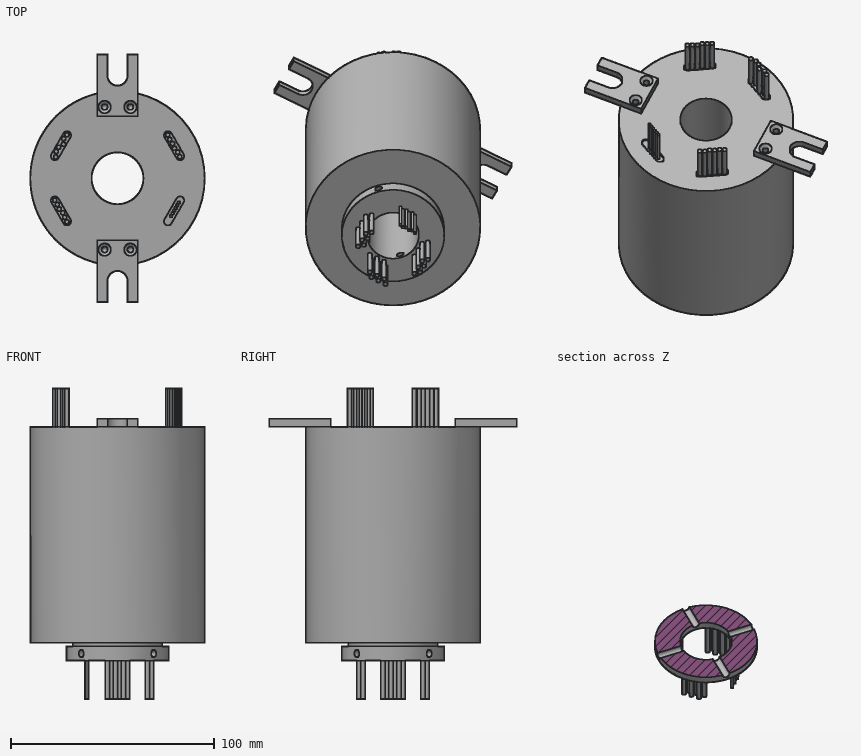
import cadquery as cq
import math

total_height = 153.0
wire_length = 19.0
flange_height = 7.0
neck_height = 1.7
flange_bottom = wire_length
neck_bottom = flange_bottom + flange_height
body_bottom = neck_bottom + neck_height
body_top = total_height - wire_length

body_diameter = 86.0
neck_diameter = 44.2
flange_diameter = 50.5
bore_diameter = 25.4

set_screw_diameter = 3.5
set_screw_count = 4
set_screw_start_angle = 45.0

fork_span = 122.0
fork_width = 20.0
fork_length = 30.5
fork_thickness = 4.1
fork_slot_width = 9.8
fork_slot_depth = 15.3
fork_tip = fork_span / 2
fork_heel = fork_tip - fork_length
fork_top = body_top + fork_thickness

screw_spacing = 12.7
screw_from_heel = 4.6
screw_hole_diameter = 2.9
screw_hole_depth = 7.6
countersink_diameter = 6.1
countersink_angle = 90.0
drill_tip_angle = 118.0

exit_radius = 32.1
exit_length = 15.9
exit_width = 4.0
exit_depth = 1.0

wires_per_bundle = 6
wire_diameter = 2.1
fine_wire_diameter = 1.4
upper_wire_pitch = 2.5
fine_wire_pitch = 1.5
fine_bundle_shift = 0.9
lower_wire_pitch = 2.0
lower_bundle_radius = 15.8
lower_fine_pitch = 1.7
lower_fine_radius = 15.1
lower_stagger = 1.0
lower_fine_stagger = 0.3

in_line = [0.0] * wires_per_bundle
zigzag = [lower_stagger * (-1) ** i for i in range(wires_per_bundle)]
fine_zigzag = [lower_fine_stagger * (-1) ** i for i in range(wires_per_bundle)]
loose_left = [0.2, 0.6, -0.8, 0.6, 0.6, -0.6]
loose_right = [-0.3, 0.0, -0.5, -0.2, -0.3, 0.0]
loose_front = [0.0, 0.0, 0.3, -0.3, 0.0, 0.2]


def cylinder(diameter, bottom, top):
    return cq.Workplane("XY").workplane(offset=bottom).circle(diameter / 2).extrude(top - bottom)


def make_body():
    body = cylinder(body_diameter, body_bottom, body_top)
    body = body.union(cylinder(neck_diameter, neck_bottom, body_bottom))
    return body.union(cylinder(flange_diameter, flange_bottom, neck_bottom))


def make_set_screw_hole(angle):
    """Radial hole from the bore out through the flange wall."""
    hole = (
        cq.Workplane("YZ")
        .center(0, flange_bottom + flange_height / 2)
        .circle(set_screw_diameter / 2)
        .extrude(flange_diameter)
    )
    return hole.rotate((0, 0, 0), (0, 0, 1), angle)


def make_fork():
    """Plate on the +Y side with a round-ended slot open at its tip."""
    plate = (
        cq.Workplane("XY", origin=(0, (fork_heel + fork_tip) / 2, body_top))
        .rect(fork_width, fork_length)
        .extrude(fork_thickness)
    )
    slot = (
        cq.Workplane("XY", origin=(0, fork_tip, body_top))
        .slot2D(fork_slot_depth * 2, fork_slot_width, 90)
        .extrude(fork_thickness)
    )
    return plate.cut(slot)


def make_screw_hole(x):
    """Countersunk blind hole with a drill-point bottom, running through the plate into the body."""
    hole_radius = screw_hole_diameter / 2
    sink_radius = countersink_diameter / 2
    sink_depth = (sink_radius - hole_radius) / math.tan(math.radians(countersink_angle / 2))
    tip_depth = hole_radius / math.tan(math.radians(drill_tip_angle / 2))
    profile = [
        (0, 0),
        (sink_radius, 0),
        (hole_radius, -sink_depth),
        (hole_radius, -screw_hole_depth),
        (0, -screw_hole_depth - tip_depth),
    ]
    hole = cq.Workplane("XZ").polyline(profile).close().revolve(360, (0, 0, 0), (0, 1, 0))
    return hole.translate((x, fork_heel + screw_from_heel, fork_top))


def make_exit_slot(angle):
    slot = (
        cq.Workplane("XY", origin=(exit_radius, 0, body_top - exit_depth))
        .slot2D(exit_length, exit_width, 90)
        .extrude(exit_depth)
    )
    return slot.rotate((0, 0, 0), (0, 0, 1), angle)


def make_bundle(angle, radius, bottom, top, offsets, pitch, diameter, shift=0.0):
    """Tangential row of upright wires; each wire is moved radially by its own offset."""
    middle = (len(offsets) - 1) / 2
    points = [(radius + offset, shift + (i - middle) * pitch) for i, offset in enumerate(offsets)]
    bundle = cq.Workplane("XY")
    for x, y in points:
        bundle = bundle.union(cylinder(diameter, bottom, top).translate((x, y, 0)))
    return bundle.rotate((0, 0, 0), (0, 0, 1), angle)


def make_upper_bundle(angle, offsets, pitch=upper_wire_pitch, diameter=wire_diameter, shift=0.0):
    wire_start = body_top - exit_depth
    return make_bundle(
        angle, exit_radius, wire_start, total_height, offsets, pitch, diameter, shift
    )


def make_lower_bundle(angle, radius, offsets, pitch, diameter=wire_diameter):
    return make_bundle(angle, radius, 0, flange_bottom, offsets, pitch, diameter)


result = make_body()

fork = make_fork()
for turn in (0, 180):
    result = result.union(fork.rotate((0, 0, 0), (0, 0, 1), turn))
for side in (-1, 1):
    screw_hole = make_screw_hole(side * screw_spacing / 2)
    result = result.cut(screw_hole)
    result = result.cut(screw_hole.mirror("XZ"))

result = result.cut(cylinder(bore_diameter, flange_bottom, body_top))
for i in range(set_screw_count):
    result = result.cut(make_set_screw_hole(set_screw_start_angle + i * 360 / set_screw_count))

for exit_angle in (30, 150, 210, 330):
    result = result.cut(make_exit_slot(exit_angle))
for bundle_angle, offsets in ((30, loose_right), (150, loose_left), (210, loose_front)):
    result = result.union(make_upper_bundle(bundle_angle, offsets))
result = result.union(
    make_upper_bundle(330, in_line, fine_wire_pitch, fine_wire_diameter, fine_bundle_shift)
)

result = result.union(
    make_lower_bundle(180, lower_fine_radius, fine_zigzag, lower_fine_pitch, fine_wire_diameter)
)
for bundle_angle in (0, 90, 270):
    result = result.union(
        make_lower_bundle(bundle_angle, lower_bundle_radius, zigzag, lower_wire_pitch)
    )